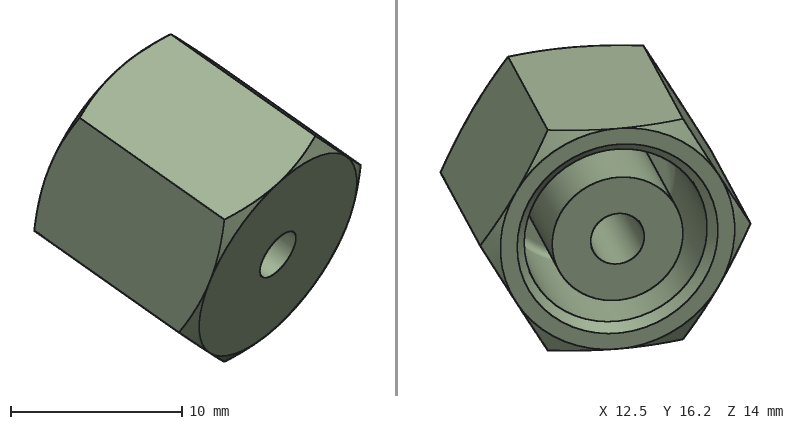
import cadquery as cq
import math

length = 12.5
across_corners = 16.17
across_flats = across_corners * math.cos(math.radians(30))
corner_chamfer_angle = 30.0
envelope_clearance = 0.16

bore_diameter = 10.93
bore_depth = 10.0
bore_floor_fillet = 0.5
mouth_diameter = 12.0
mouth_chamfer_depth = 0.53
post_diameter = 7.81
through_hole_diameter = 3.2


def hex_body():
    """Hexagonal prism with its corners turned off conically at both ends."""
    prism = cq.Workplane("YZ").polygon(6, across_corners).extrude(length)
    flat_radius = across_flats / 2
    envelope_radius = across_corners / 2 + envelope_clearance
    cone_length = (envelope_radius - flat_radius) * math.tan(math.radians(corner_chamfer_angle))
    envelope = (
        cq.Workplane("XY")
        .moveTo(0, 0)
        .lineTo(0, flat_radius)
        .lineTo(cone_length, envelope_radius)
        .lineTo(length - cone_length, envelope_radius)
        .lineTo(length, flat_radius)
        .lineTo(length, 0)
        .close()
        .revolve(360, (0, 0, 0), (1, 0, 0))
    )
    return prism.intersect(envelope)


def bore():
    """Chamfered bore with a rounded outer floor edge."""
    cylinder = (
        cq.Workplane("YZ")
        .circle(bore_diameter / 2)
        .extrude(bore_depth)
        .faces(">X")
        .edges()
        .fillet(bore_floor_fillet)
    )
    mouth = (
        cq.Workplane("XY")
        .lineTo(0, mouth_diameter / 2)
        .lineTo(mouth_chamfer_depth, bore_diameter / 2)
        .lineTo(mouth_chamfer_depth, 0)
        .close()
        .revolve(360, (0, 0, 0), (1, 0, 0))
    )
    return cylinder.union(mouth)


def post():
    """Central post rising from the bore floor, flush with the mouth."""
    return cq.Workplane("YZ").circle(post_diameter / 2).extrude(length)


def through_hole():
    return cq.Workplane("YZ").circle(through_hole_diameter / 2).extrude(length)


result = hex_body().cut(bore()).union(post()).cut(through_hole())